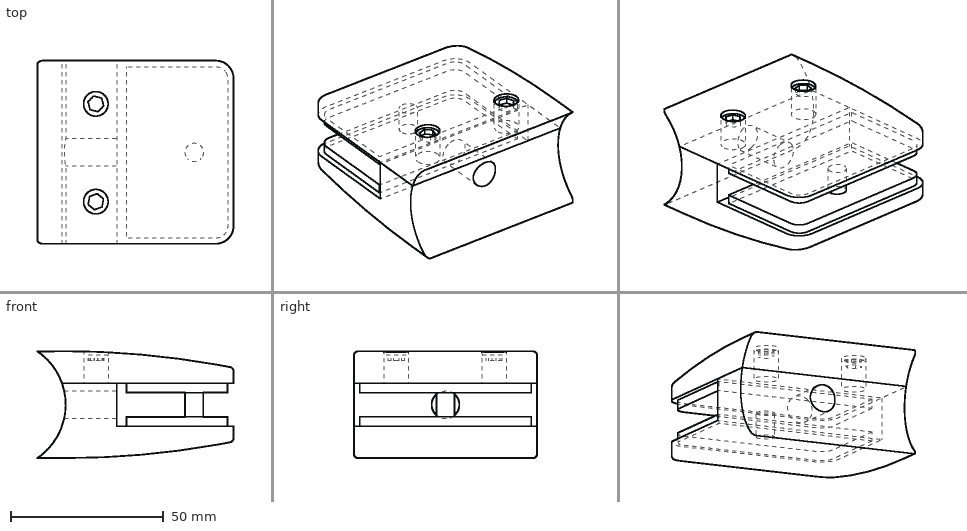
import cadquery as cq
import math

length = 64.2
width = 60.0
height = 35.0
edge_radius = 1.5
corner_radius = 6.0

taper_start = 9.2
taper_radius = 282.6
tip_drop = 0.05
saddle_radius = 21.05

slot_start = 26.0
slot_height = 14.0
pad_thickness = 3.0
pad_start = 29.15
pad_inset = 2.0
pin_diameter = 6.05
pin_x = 51.25

bolt_bore_diameter = 9.0

screw_diameter = 8.0
screw_x = 19.15
screw_spacing = 32.0
screw_center_y = -0.2
screw_recess = 1.15
screw_edge_radius = 0.6
socket_diameter = 5.3
socket_depth = 1.8
socket_turns = {1: -15.0, -1: 20.0}

half_height = height / 2
split_z = slot_height / 2
tip_z = half_height - tip_drop
saddle_center_x = -math.sqrt(saddle_radius**2 - tip_z**2)
pad_face_z = split_z - pad_thickness
pad_end = length - pad_inset
screw_top_z = half_height - screw_recess


def taper_z(x):
    """Height of the tapered outer surface at x."""
    return half_height - taper_radius + math.sqrt(taper_radius**2 - (x - taper_start) ** 2)


def box(x_min, x_max, y_size, z_min, z_max):
    """Box between the given X and Z limits, centred on Y."""
    return (
        cq.Workplane("XY", origin=(x_min, 0, z_min))
        .box(x_max - x_min, y_size, z_max - z_min, centered=(False, True, False))
    )


def make_shell():
    """Complete clamp outline, rounded and with the saddle cut, before it is split."""
    mid_x = (taper_start + length) / 2
    shell = (
        cq.Workplane("XZ")
        .moveTo(0, -half_height)
        .lineTo(taper_start, -half_height)
        .threePointArc((mid_x, -taper_z(mid_x)), (length, -taper_z(length)))
        .lineTo(length, taper_z(length))
        .threePointArc((mid_x, taper_z(mid_x)), (taper_start, half_height))
        .lineTo(0, half_height)
        .close()
        .extrude(width / 2, both=True)
    )
    shell = shell.edges("|Z and >X").fillet(corner_radius)
    shell = shell.edges("not (|Z or (|Y exc >X))").fillet(edge_radius)
    saddle = (
        cq.Workplane("XZ")
        .center(saddle_center_x, 0)
        .circle(saddle_radius)
        .extrude(width, both=True)
    )
    tip_wedge = (
        cq.Workplane("XZ")
        .polyline([(0, tip_z), (taper_start, half_height), (0, half_height)])
        .close()
        .extrude(width, both=True)
    )
    return shell.cut(saddle).cut(tip_wedge).cut(tip_wedge.mirror("XY"))


def screw_places():
    """Side (+1 or -1 along Y) and Y position of each screw."""
    return [(side, screw_center_y + side * screw_spacing / 2) for side in (1, -1)]


def make_cover(shell):
    """Upper jaw, from the split plane up, with a through bore for each screw."""
    cover = shell.intersect(box(0, length, width, split_z, half_height))
    for side, y in screw_places():
        bore = (
            cq.Workplane("XY", origin=(screw_x, y, split_z))
            .circle(screw_diameter / 2)
            .extrude(height)
        )
        cover = cover.cut(bore)
    return cover


def make_housing(shell):
    """Lower jaw and root block, with the glass slot and the bolt bore."""
    housing = shell.intersect(box(0, length, width, -half_height, split_z))
    housing = housing.cut(box(slot_start, length, width, -split_z, split_z))
    bolt_bore = (
        cq.Workplane("YZ")
        .circle(bolt_bore_diameter / 2)
        .extrude(slot_start)
    )
    return housing.cut(bolt_bore)


def make_pad(z_min):
    """Pad with rounded corners at the mouth, its lower face at z_min."""
    pad = box(pad_start, pad_end, width - 2 * pad_inset, z_min, z_min + pad_thickness)
    return pad.edges("|Z and >X").fillet(corner_radius - pad_inset)


def make_pin():
    """Pin that spans the gap between the two pads."""
    return (
        cq.Workplane("XY", origin=(pin_x, 0, -pad_face_z))
        .circle(pin_diameter / 2)
        .extrude(2 * pad_face_z)
    )


def make_screw(y, socket_turn):
    """Screw that fills its cover bore, with its socket turned about Z by socket_turn degrees."""
    screw = (
        cq.Workplane("XY")
        .circle(screw_diameter / 2)
        .extrude(screw_top_z - split_z)
        .faces(">Z")
        .edges()
        .fillet(screw_edge_radius)
    )
    socket = (
        cq.Workplane("XY", origin=(0, 0, screw_top_z - split_z - socket_depth))
        .polygon(6, socket_diameter)
        .extrude(2 * socket_depth)
        .rotate((0, 0, 0), (0, 0, 1), socket_turn)
    )
    return screw.cut(socket).translate((screw_x, y, split_z))


shell = make_shell()
cover = make_cover(shell)
housing = make_housing(shell)
pads = [make_pad(z_min) for z_min in (pad_face_z, -split_z)]
pin = make_pin()
screws = [make_screw(y, socket_turns[side]) for side, y in screw_places()]

result = cq.Compound.makeCompound(
    [
        housing.val(),
        cover.val(),
        *[pad.val() for pad in pads],
        pin.val(),
        *[screw.val() for screw in screws],
    ]
)